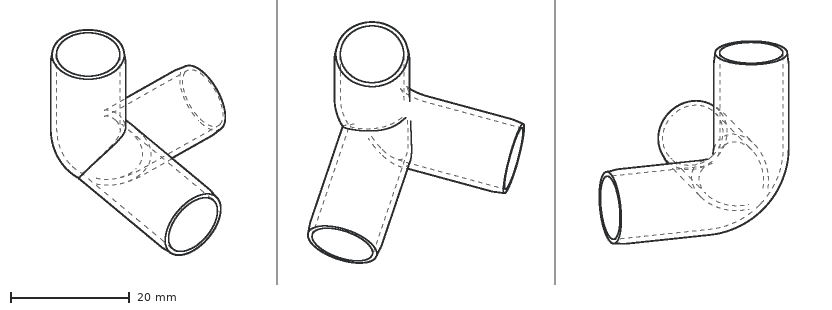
import cadquery as cq
import math


outer_diameter = 12.7
wall_thickness = 1.0
bend_radius = 8.0
reach = 25.0
taper_length = 2.0
taper_depth = 0.25

outer_radius = outer_diameter / 2
bore_radius = outer_radius - wall_thickness
leg_length = reach - bend_radius
bend_angle = 90.0
branch_offset = bend_radius * (1 - math.cos(math.radians(bend_angle / 2)))

y_leg_start = cq.Vector(0, bend_radius, 0)
z_leg_start = cq.Vector(0, 0, bend_radius)
branch_start = cq.Vector(0, branch_offset, branch_offset)
x_axis = cq.Vector(1, 0, 0)
y_axis = cq.Vector(0, 1, 0)
z_axis = cq.Vector(0, 0, 1)

legs = [
    (branch_start, x_axis, reach),
    (y_leg_start, y_axis, leg_length),
    (z_leg_start, z_axis, leg_length),
]


def bend(radius):
    """Solid quarter torus joining the Y leg to the Z leg."""
    return (
        cq.Workplane("XY", origin=z_leg_start.toTuple())
        .circle(radius)
        .revolve(bend_angle, (0, bend_radius, 0), (1, bend_radius, 0))
    )


def leg_body(start, direction, length):
    """Solid round leg with a slight taper at its free end."""
    straight_length = length - taper_length
    taper_start = start + direction * straight_length
    straight = cq.Solid.makeCylinder(outer_radius, straight_length, start, direction)
    taper = cq.Solid.makeCone(
        outer_radius, outer_radius - taper_depth, taper_length, taper_start, direction
    )
    return cq.Workplane(straight).union(cq.Workplane(taper))


def leg_bore(start, direction, length):
    """Round bore running the full length of a leg."""
    return cq.Solid.makeCylinder(bore_radius, length, start, direction)


body = bend(outer_radius)
for leg in legs:
    body = body.union(leg_body(*leg))

body = body.cut(bend(bore_radius))
for leg in legs:
    body = body.cut(cq.Workplane(leg_bore(*leg)))

result = body.solids()